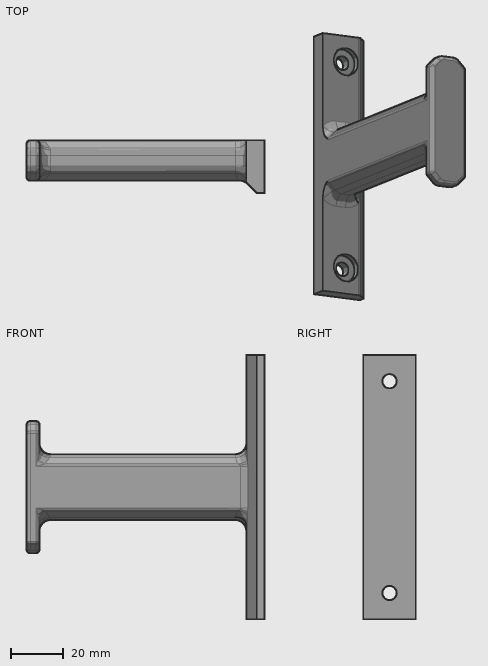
import cadquery as cq


total_length = 90.0
plate_height = 100.0
plate_width = 20.0

plate_thickness = 7.0
plate_chamfer = 4.0
plate_face_x = total_length - plate_thickness

hole_spacing = 80.0
hole_diameter = 5.3
counterbore_diameter = 10.5
counterbore_depth = 2.7

body_depth = 15.38
bar_height = 25.0
cap_height = 50.0
cap_thickness = 5.0
corner_chamfer = 4.0
corner_radius = 4.0

edge_radius = 1.5
blend_radius = 4.0

bar_overlap = 1.0
flush_excess = 10.0
selection_tolerance = 0.01


def between(x_range, y_range, half_height):
    """Selector for edges lying wholly inside a box centred on Z = 0."""
    margin = selection_tolerance
    low = (x_range[0] - margin, y_range[0] - margin, -half_height - margin)
    high = (x_range[1] + margin, y_range[1] + margin, half_height + margin)
    return cq.selectors.BoxSelector(low, high, boundingbox=True)


def octagonal_block(x_start, x_end, height):
    """Block along X with chamfered corners, softened where the chamfers end."""
    length = x_end - x_start
    block = cq.Workplane("XY").box(length, body_depth, height)
    block = block.translate(((x_start + x_end) / 2, -body_depth / 2, 0))
    block = block.edges("|X").chamfer(corner_chamfer)

    x_range = (x_start, x_end)
    inner_y_range = (corner_chamfer - body_depth, -corner_chamfer)
    top_and_bottom = between(x_range, inner_y_range, height / 2)
    block = block.edges("|X").edges(top_and_bottom).fillet(corner_radius)

    front_side = between(x_range, (-body_depth, -body_depth), height / 2)
    flush_side = between(x_range, (0, 0), height / 2)
    return block.edges("|X").edges(front_side + flush_side).fillet(edge_radius)


def make_cap():
    """Plate-like end stop, rounded around both of its faces."""
    cap = octagonal_block(0, cap_thickness, cap_height)
    return cap.faces("<X or >X").edges().fillet(edge_radius)


def make_bar():
    """Bar from inside the cap to just inside the plate."""
    x_start = cap_thickness - edge_radius - bar_overlap
    return octagonal_block(x_start, plate_face_x + bar_overlap, bar_height)


def make_plate():
    """Plate with one bevelled long edge and spare stock behind the flush face."""
    bevel_y = plate_chamfer - plate_width
    plate = (
        cq.Workplane("XY")
        .workplane(offset=-plate_height / 2)
        .moveTo(plate_face_x, flush_excess)
        .lineTo(total_length, flush_excess)
        .lineTo(total_length, -plate_width)
        .lineTo(plate_face_x + plate_chamfer, -plate_width)
        .lineTo(plate_face_x, bevel_y)
        .close()
        .extrude(plate_height)
    )
    bevel_edge = between((plate_face_x, plate_face_x), (bevel_y, bevel_y), plate_height / 2)
    return plate.edges(bevel_edge).fillet(edge_radius)


def blend_bar_ends(body):
    """Round the inside corners where the bar meets the plate and the cap."""
    half_height = bar_height / 2
    depth_range = (-body_depth, 0)
    plate_seam = between((plate_face_x, plate_face_x), depth_range, half_height)
    body = body.edges(plate_seam).fillet(blend_radius)
    cap_seam = between((cap_thickness, cap_thickness), depth_range, half_height)
    return body.edges(cap_seam).fillet(blend_radius)


def trim_flush_face(body):
    """Remove everything behind Y = 0."""
    waste = cq.Workplane("XY").box(
        total_length, flush_excess, plate_height, centered=(False, False, True)
    )
    return body.cut(waste)


def drill_screw_holes(body):
    """Counterbored holes through the plate, entered from the bar side."""
    positions = [(plate_width / 2, z) for z in (-hole_spacing / 2, hole_spacing / 2)]
    face_plane = cq.Plane(origin=(plate_face_x, 0, 0), xDir=(0, -1, 0), normal=(-1, 0, 0))
    return (
        cq.Workplane(face_plane)
        .newObject(body.vals())
        .pushPoints(positions)
        .cboreHole(hole_diameter, counterbore_diameter, counterbore_depth)
    )


result = make_cap().union(make_bar()).union(make_plate())
result = blend_bar_ends(result)
result = trim_flush_face(result)
result = drill_screw_holes(result)